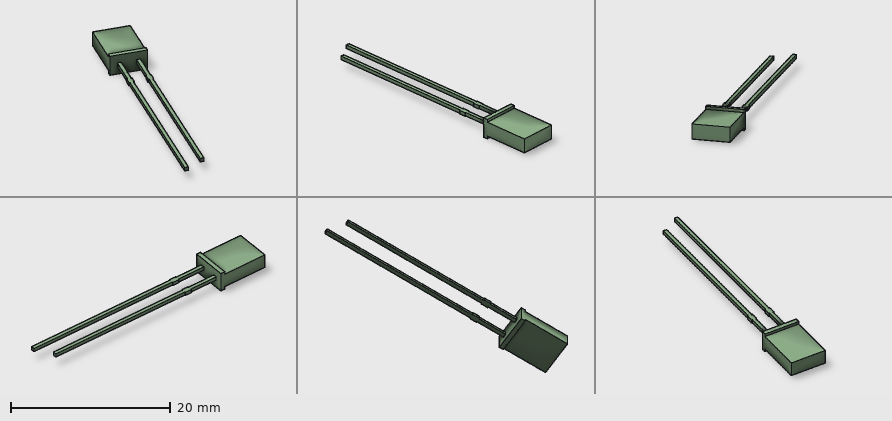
import cadquery as cq

total_length = 34.0
body_width = 5.0
flange_height = 2.8

package_length = 7.0
flange_thickness = 0.6
lens_height = 2.0
lens_length = package_length - flange_thickness

lead_size = 0.5
lead_pitch = 2.55
short_lead_setback = 1.5
stop_distance = 4.0
stop_length = 1.0
stop_width = 0.7


def block(start_x, length, width, height, center_y=0.0):
    """Box that starts at start_x, centred on center_y and on Z = 0."""
    solid = cq.Workplane("XY").box(length, width, height, centered=(False, True, True))
    return solid.translate((start_x, center_y, 0))


def lead(center_y, end_x):
    """Lead running from the flange to end_x, with its stand-off stop."""
    wire = block(package_length, end_x - package_length, lead_size, lead_size, center_y)
    stop = block(package_length + stop_distance, stop_length, stop_width, lead_size, center_y)
    return wire.union(stop)


lens = block(0, lens_length, body_width, lens_height)
flange = block(lens_length, flange_thickness, body_width, flange_height)

long_lead = lead(-lead_pitch / 2, total_length)
short_lead = lead(lead_pitch / 2, total_length - short_lead_setback)

result = lens.union(flange).union(long_lead).union(short_lead)